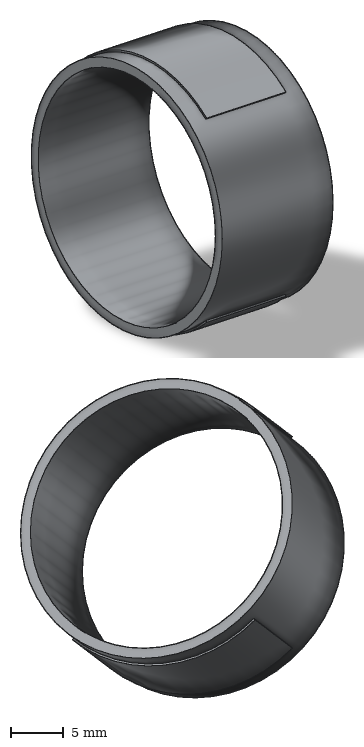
import cadquery as cq
import math

overall_height = 28.05
outer_diameter = 27.65
wall_thickness = 1.0
band_width = 14.0
pad_width = 10.0
pad_angle = 83.0

outer_radius = outer_diameter / 2
inner_radius = outer_radius - wall_thickness
pad_radius = overall_height / 2
pad_root_radius = outer_radius - wall_thickness / 2


def arc_point(radius, angle):
    """Point at a radius, at an angle in degrees from +Z toward +X."""
    radians = math.radians(angle)
    return (radius * math.sin(radians), radius * math.cos(radians))


def make_band():
    """Plain cylindrical band about the Y axis."""
    profile = cq.Workplane("XZ").circle(outer_radius).circle(inner_radius)
    return profile.extrude(band_width / 2, both=True)


def make_top_pad():
    """Thin raised label pad wrapped over the top, with radial ends."""
    half_angle = pad_angle / 2
    profile = (
        cq.Workplane("XZ")
        .moveTo(*arc_point(pad_root_radius, -half_angle))
        .lineTo(*arc_point(pad_radius, -half_angle))
        .threePointArc(arc_point(pad_radius, 0), arc_point(pad_radius, half_angle))
        .lineTo(*arc_point(pad_root_radius, half_angle))
        .threePointArc(arc_point(pad_root_radius, 0), arc_point(pad_root_radius, -half_angle))
        .close()
    )
    return profile.extrude(pad_width / 2, both=True)


top_pad = make_top_pad()
bottom_pad = top_pad.mirror("XY")

result = make_band().union(top_pad).union(bottom_pad)